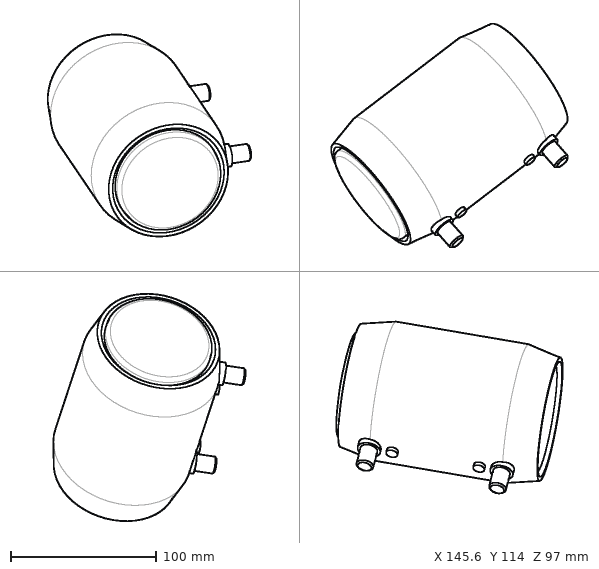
import cadquery as cq
import math

sleeve_length = 139.8
sleeve_radius = 97.0 / 2
end_radius = 43.1
taper_length = 23.3
bore_radius = 75.0 / 2
mouth_radius = 40.2
mouth_depth = 2.9

overall_length = 145.6
cap_start = sleeve_length / 2
cap_inner_radius = 67.7 / 2
dome_radius_at_rim = 69.5 / 2
cap_wall = bore_radius - cap_inner_radius
rim_fillet = bore_radius - dome_radius_at_rim
dome_start = sleeve_length + 3.0
dome_height = overall_length - dome_start

terminal_top = 65.5
terminal_radius = 12.0 / 2
terminal_chamfer = 1.2
collar_top = 51.0
collar_radius = 16.0 / 2
indicator_radius = 8.0 / 2
indicator_inset = 39.3
stud_root = 42.2


def mirrored_places(inset):
    """Places along X at the same distance from both sleeve ends."""
    return (inset, sleeve_length - inset)


def make_sleeve():
    return (
        cq.Workplane("XY")
        .moveTo(0, mouth_radius)
        .lineTo(0, end_radius)
        .lineTo(taper_length, sleeve_radius)
        .lineTo(sleeve_length - taper_length, sleeve_radius)
        .lineTo(sleeve_length, end_radius)
        .lineTo(sleeve_length, mouth_radius)
        .lineTo(sleeve_length - mouth_depth, bore_radius)
        .lineTo(mouth_depth, bore_radius)
        .close()
        .revolve(360, (0, 0, 0), (1, 0, 0))
    )


def make_cap():
    dome_radius = (dome_radius_at_rim**2 + dome_height**2) / (2 * dome_height)
    dome_centre = overall_length - dome_radius
    cavity_radius = dome_radius - cap_wall

    def on_dome(radius, height):
        return (dome_centre + math.sqrt(radius**2 - height**2), height)

    fillet_mid = (
        dome_start - rim_fillet * (1 - math.sqrt(0.5)),
        dome_radius_at_rim + rim_fillet * math.sqrt(0.5),
    )
    return (
        cq.Workplane("XY")
        .moveTo(cap_start, cap_inner_radius)
        .lineTo(cap_start, bore_radius)
        .lineTo(dome_start - rim_fillet, bore_radius)
        .threePointArc(fillet_mid, (dome_start, dome_radius_at_rim))
        .threePointArc(on_dome(dome_radius, dome_radius_at_rim / 2), (overall_length, 0))
        .lineTo(overall_length - cap_wall, 0)
        .threePointArc(
            on_dome(cavity_radius, cap_inner_radius / 2),
            on_dome(cavity_radius, cap_inner_radius),
        )
        .close()
        .revolve(360, (0, 0, 0), (1, 0, 0))
    )


def make_stud(x, radius, top):
    """Round stud along +Y, rooted inside the sleeve wall."""
    return (
        cq.Workplane("XZ", origin=(x, stud_root, 0))
        .circle(radius)
        .extrude(stud_root - top)
    )


result = make_sleeve().union(make_cap())

for x in mirrored_places(taper_length):
    terminal = make_stud(x, terminal_radius, terminal_top).faces(">Y").chamfer(terminal_chamfer)
    collar = make_stud(x, collar_radius, collar_top)
    result = result.union(collar).union(terminal)

for x in mirrored_places(indicator_inset):
    result = result.union(make_stud(x, indicator_radius, collar_top))